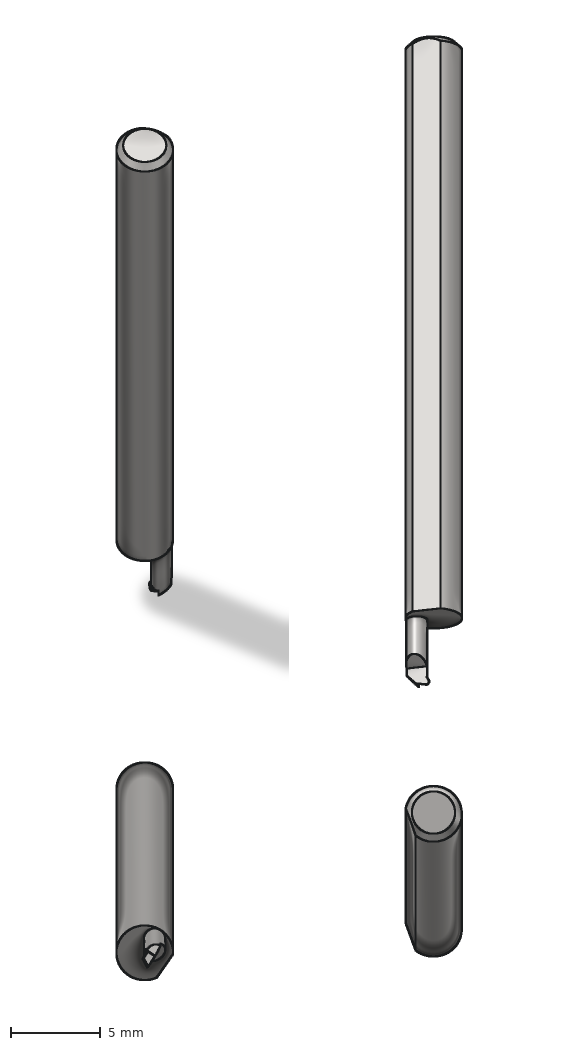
import cadquery as cq

total_length = 38.1
shank_diameter = 3.15
shank_radius = shank_diameter / 2
depth_across_flat = 2.95
shank_bottom = 3.9
top_chamfer = 0.4

neck_diameter = 1.2
neck_radius = neck_diameter / 2
neck_center_x = shank_radius - neck_radius
neck_left_x = neck_center_x - neck_radius
neck_bottom = 0.1
neck_corner_chamfer = 0.55
rake_bottom_z = 1.05

tooth_root_z = 0.45
tooth_root_x = 1.03
tooth_overhang = 0.15
tooth_corner_z = 0.15
tooth_nose_x = 0.35
side_relief = 0.23
bottom_relief = 0.15
tooth_depth = 0.45


def xz_prism(points, y_low, y_high):
    """Extrude an XZ outline between two Y positions."""
    profile = cq.Workplane("XZ", origin=(0, y_high, 0)).polyline(points).close()
    return profile.extrude(y_high - y_low)


def make_shank():
    length = total_length - shank_bottom
    shank = cq.Workplane("XY").workplane(offset=shank_bottom).circle(shank_radius).extrude(length)
    shank = shank.faces(">Z").chamfer(top_chamfer)
    flat_limit = (
        cq.Workplane("XY").workplane(offset=shank_bottom)
        .center(0, depth_across_flat / 2 - shank_radius)
        .rect(shank_diameter, depth_across_flat)
        .extrude(length)
    )
    return shank.intersect(flat_limit)


def make_neck():
    neck = (
        cq.Workplane("XY").workplane(offset=neck_bottom)
        .center(neck_center_x, 0).circle(neck_radius)
        .extrude(shank_bottom - neck_bottom)
    )
    rake_cut = (
        cq.Workplane("YZ")
        .polyline([
            (0, 0),
            (neck_diameter, 0),
            (neck_diameter, rake_bottom_z + neck_diameter),
            (0, rake_bottom_z),
        ])
        .close().extrude(shank_diameter)
    )
    corner_cut = xz_prism(
        [
            (shank_radius, neck_bottom),
            (shank_radius, neck_bottom + neck_corner_chamfer),
            (shank_radius - neck_corner_chamfer, neck_bottom),
        ],
        -neck_radius, neck_radius,
    )
    tooth_space = xz_prism(
        [(0, 0), (tooth_root_x, 0), (tooth_root_x, tooth_root_z), (0, tooth_root_z)],
        -neck_radius, neck_radius,
    )
    return neck.cut(rake_cut).cut(corner_cut).cut(tooth_space)


def tooth_outline(relief_x, relief_z):
    return [
        (neck_left_x + relief_x, tooth_root_z),
        (neck_left_x - tooth_overhang + relief_x, tooth_corner_z + relief_z),
        (tooth_nose_x + relief_x, relief_z),
        (tooth_root_x, neck_bottom + relief_z),
        (tooth_root_x, tooth_root_z),
    ]


def make_tooth():
    return (
        cq.Workplane("XZ").polyline(tooth_outline(0, 0)).close()
        .workplane(offset=tooth_depth)
        .polyline(tooth_outline(side_relief, bottom_relief)).close()
        .loft(ruled=True)
    )


result = make_shank().union(make_neck()).union(make_tooth())